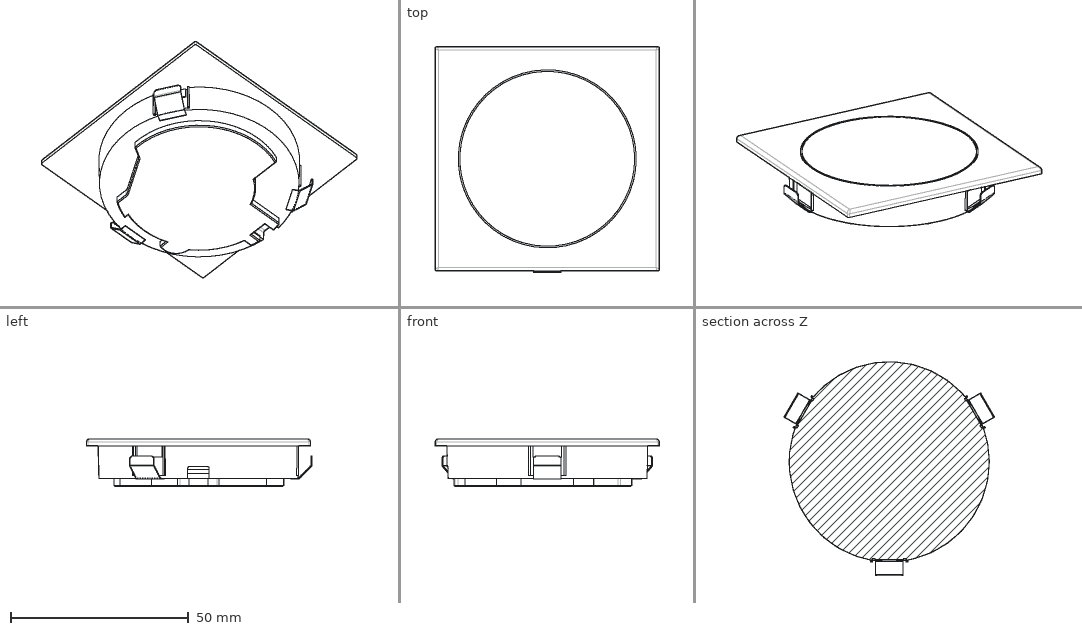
import cadquery as cq
import math

plate_side = 63.0
plate_thickness = 2.0
plate_edge_radius = 0.95
plate_corner_radius = 0.45
groove_outer_radius = 25.0
groove_width = 0.45
groove_depth = 0.4

overall_height = 13.4
housing_bottom = -11.2
housing_top_radius = 28.25
housing_bottom_radius = 28.05

window_width = 9.5
window_floor = 27.2
ledge_height = -10.35
panel_width = 8.1
panel_bottom = -5.15
panel_face = 27.55
rail_width = 0.45
rail_face = 28.2

clip_angles = (30, 150, 270)
clip_projection = 0.45
clip_reach = plate_side / 2 + clip_projection
clip_width = 7.8
clip_thickness = 0.3
clip_top = -4.8
clip_bend = -7.6
clip_bottom = -11.35
clip_arm_angle = 45
clip_foot_start = 26.0
clip_corner = 0.65
clip_bend_radius = 0.75

base_radius = 23.8
base_bottom = -overall_height
base_height = housing_bottom - base_bottom
base_edge_chamfer = 0.3
core_radius = 15.85
cutout_face_x = -8.9
cutout_start_y = 5.65
tab_radius = 26.4
tab_width = 11.7
tab_corner_radius = 0.75
shallow_radius = 22.5
shallow_width = 14.7
boss_radius = 5.2
boss_center = (-9.0, -18.8)
flat_angle = -30
flat_distance = 19.15
flat_length = 14.2
flat_corner_radius = 1.9
flat_side_angle = 60

channel_width = 5.45
channel_back = -22.85
notch_back = -22.35
notch_width = 6.0
notch_top = -7.8
notch_corner_radius = 0.5
shoulder_bottom = -9.7
shoulder_depth = 1.0

cutter_margin = 0.65


def box(x_range, y_range, z_range):
    """Axis-aligned block between pairs of limits."""
    size = [high - low for low, high in (x_range, y_range, z_range)]
    return cq.Workplane("XY").box(*size, centered=False).translate(
        (x_range[0], y_range[0], z_range[0])
    )


def make_plate():
    plate = (
        cq.Workplane("XY")
        .workplane(offset=-plate_thickness)
        .rect(plate_side, plate_side)
        .extrude(plate_thickness)
        .edges("|Z")
        .fillet(plate_corner_radius)
        .faces(">Z")
        .edges()
        .fillet(plate_edge_radius)
    )
    groove = (
        cq.Workplane("XY")
        .circle(groove_outer_radius)
        .circle(groove_outer_radius - groove_width)
        .extrude(-groove_depth)
    )
    return plate.cut(groove)


def make_housing():
    return (
        cq.Workplane("XY")
        .workplane(offset=-plate_thickness)
        .circle(housing_top_radius)
        .workplane(offset=housing_bottom + plate_thickness)
        .circle(housing_bottom_radius)
        .loft()
    )


def make_rails():
    """Two upright rails beside one clip window, facing +X."""
    inner = window_width / 2
    outer = inner + rail_width
    rail = box((window_floor, rail_face), (inner, outer), (ledge_height, -plate_thickness))
    return rail.union(rail.mirror("XZ"))


def make_window():
    """Cutter for one clip window with its raised panel, facing +X."""
    half_width = window_width / 2
    half_panel = panel_width / 2
    beyond = housing_top_radius + cutter_margin
    opening = box((window_floor, beyond), (-half_width, half_width), (ledge_height, -plate_thickness))
    panel = box((window_floor, panel_face), (-half_panel, half_panel), (panel_bottom, -plate_thickness))
    return opening.cut(panel)


def make_clip():
    """Bent strip facing +X: foot, sloping arm and upright end."""
    arm_slope = math.tan(math.radians(clip_arm_angle))
    foot_reach = clip_reach - (clip_bend - clip_bottom) / arm_slope
    bend_offset = clip_thickness * math.tan(math.radians(clip_arm_angle / 2))
    foot_top = clip_bottom + clip_thickness
    return (
        cq.Workplane("XZ")
        .moveTo(clip_foot_start, clip_bottom)
        .lineTo(foot_reach, clip_bottom)
        .lineTo(clip_reach, clip_bend)
        .lineTo(clip_reach, clip_top)
        .lineTo(clip_reach - clip_thickness, clip_top)
        .lineTo(clip_reach - clip_thickness, clip_bend + bend_offset)
        .lineTo(foot_reach - bend_offset, foot_top)
        .lineTo(clip_foot_start, foot_top)
        .close()
        .extrude(clip_width / 2, both=True)
        .edges(cq.selectors.NearestToPointSelector((clip_reach, 0, clip_bend)))
        .fillet(clip_bend_radius)
        .faces(">Z")
        .edges("|X")
        .chamfer(clip_corner)
    )


def base_disc(radius, center=(0, 0)):
    return (
        cq.Workplane("XY")
        .workplane(offset=base_bottom)
        .center(*center)
        .circle(radius)
        .extrude(base_height)
    )


def make_tab():
    """Tab that carries the connector, with a round outer end."""
    half_width = tab_width / 2
    corner_x = -math.sqrt(tab_radius**2 - half_width**2)
    return (
        cq.Workplane("XY")
        .workplane(offset=base_bottom)
        .moveTo(0, -half_width)
        .lineTo(corner_x, -half_width)
        .threePointArc((-tab_radius, 0), (corner_x, half_width))
        .lineTo(0, half_width)
        .close()
        .extrude(base_height)
        .edges("|Z")
        .edges("<X")
        .fillet(tab_corner_radius)
    )


def make_flat_recess():
    """Cutter with a flat floor and sides that flare outward."""
    flare_depth = base_radius - flat_distance
    flare = flare_depth * math.tan(math.radians(flat_side_angle))
    half_floor = flat_length / 2
    return (
        cq.Workplane("XY")
        .workplane(offset=base_bottom)
        .polyline(
            [
                (flat_distance, -half_floor),
                (flat_distance + flare_depth, -half_floor - flare),
                (flat_distance + flare_depth, half_floor + flare),
                (flat_distance, half_floor),
            ]
        )
        .close()
        .extrude(base_height)
        .edges("|Z")
        .edges("<X")
        .fillet(flat_corner_radius)
        .rotate((0, 0, 0), (0, 0, 1), flat_angle)
    )


def make_base():
    z_range = (base_bottom, housing_bottom)
    core = base_disc(core_radius)
    cutout = box((-base_radius, cutout_face_x), (cutout_start_y, base_radius), z_range).cut(core)
    shallow_recess = box(
        (-shallow_width / 2, shallow_width / 2), (-base_radius, 0), z_range
    ).cut(base_disc(shallow_radius))
    channel = box(
        (-housing_top_radius, channel_back), (-channel_width / 2, channel_width / 2), z_range
    )
    return (
        base_disc(base_radius)
        .cut(cutout)
        .union(make_tab())
        .union(base_disc(boss_radius, boss_center))
        .cut(shallow_recess)
        .cut(make_flat_recess())
        .cut(channel)
        .faces("<Z")
        .edges()
        .chamfer(base_edge_chamfer)
    )


def make_notch():
    """Cutter for the connector opening, with a sloped shoulder above its back wall."""
    outer_x = -housing_top_radius - cutter_margin
    return (
        cq.Workplane("XZ")
        .moveTo(outer_x, housing_bottom)
        .lineTo(notch_back, housing_bottom)
        .lineTo(notch_back, shoulder_bottom)
        .lineTo(notch_back + shoulder_depth, shoulder_bottom + shoulder_depth)
        .lineTo(notch_back + shoulder_depth, notch_top)
        .lineTo(outer_x, notch_top)
        .close()
        .extrude(notch_width / 2, both=True)
        .faces(">Z")
        .edges("|X")
        .fillet(notch_corner_radius)
    )


result = make_plate().union(make_housing()).union(make_base()).cut(make_notch())

rails = make_rails()
window = make_window()
clip = make_clip()
for angle in clip_angles:
    result = result.union(rails.rotate((0, 0, 0), (0, 0, 1), angle))
    result = result.cut(window.rotate((0, 0, 0), (0, 0, 1), angle))
    result = result.union(clip.rotate((0, 0, 0), (0, 0, 1), angle))